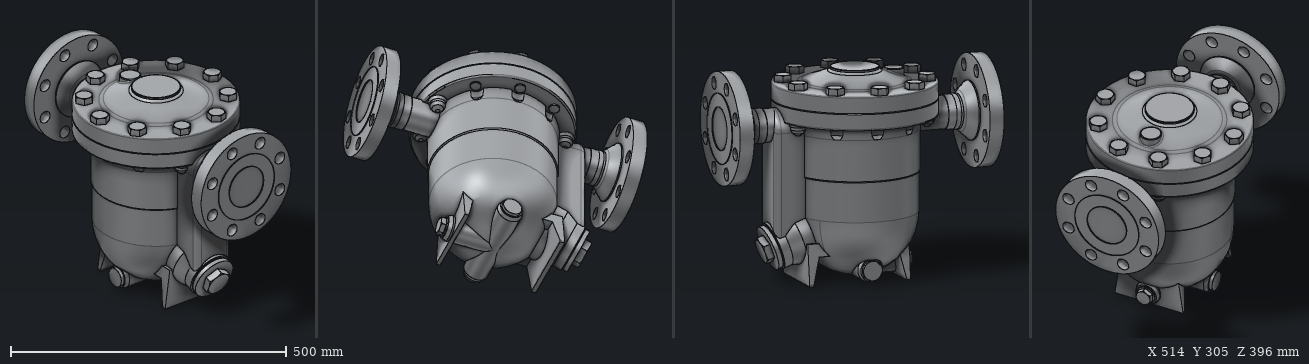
import cadquery as cq
import math


flange_radius = 305 / 2
joint_plate_thickness = 30.3
joint_gap = 2.0
joint_face_radius = 235 / 2
joint_z = 38.7
cover_edge_round = 1.5
body_flange_round = 3.0

bolt_count = 10
bolt_circle_radius = 131.0
bolt_step = 360 / bolt_count
bolt_diameter = 20.0
bolt_head_across_flats = 30.0
bolt_head_height = 13.0
bolt_tip_stick_out = 3.0
clearance_radius = 16.0
clearance_cone_z = -8.5
clearance_end_z = -16.0
clearance_end_radius = 13.3

blind_boss_bolts = (2, 3, 7, 8)
blind_boss_radius = 14.5
blind_boss_root_radius = 17.5
blind_boss_straight_top_z = 2.5
blind_boss_straight_bottom_z = -3.0
blind_boss_rim_radius = 10.5
blind_boss_rim_z = -9.3
blind_boss_tip_radius = 4.0
blind_boss_tip_z = -14.7

dome_base_radius = 104.0
dome_cone_radius = 96.0
dome_cone_base_rise = 2.5
crown_radius = 90 / 2
crown_height = 27.3
crown_chamfer = 1.0
crown_root_round = 4.5
dome_cone_top_rise = 19.0
vent_boss_x = -75.0
vent_boss_radius = 19.5
vent_boss_height = 20.0
vent_boss_edge = 1.5
vent_boss_root_round = 3.0

neck_top_radius = 121.5
upper_radius = 119.0
lower_radius = 234 / 2
neck_line_z = -16.0
step_z = -92.5
step_height = 2.5
dome_start_z = -169.0
vessel_seam_angle = 37.0

inlet_face_x = -252.2
outlet_face_x = 261.8
pipe_radius = 62 / 2
pipe_flange_radius = 210 / 2
pipe_flange_thickness = 27.5
raised_face_radius = 130 / 2
raised_face_height = 1.5
bore_diameter = 80.0
bore_depth = 2.0
pipe_bolt_hole_diameter = 23.0
pipe_bolt_circle_diameter = 170.0
pipe_bolt_hole_count = 8
hub_large_radius = 55.0
hub_small_radius = 38.0
stub_radius = 32.5
weld_bead_rise = 1.0
hub_start = 31.5
hub_end = 49.5
stub_start = 53.0
weld_near = 57.0
weld_far = 66.0
stub_end = 81.5

duct_half_width = 40.0
duct_outer_x = 167.8
duct_corner_radius = 11.0
duct_top_z = pipe_radius
duct_bottom_z = -215.0

port_tilt = 20.0
port_tip_x = 181.3
port_tip_z = -233.2
port_root_radius = 54.0
port_radius = 90 / 2
port_gasket_radius = 83 / 2
port_cap_radius = 85 / 2
port_hex_across_flats = 46.0
port_cap_face = 14.0
port_gasket_face = 23.0
port_end_face = 25.0
port_cone_end = 42.0
port_cone_start = 67.0
port_root = 150.0

bottom_boss_z = -264.0
bottom_boss_radius = 24.0
bottom_boss_end_radius = 21.0
bottom_boss_taper = 8.0
bottom_plug_radius = 18.2
side_boss_reach = 89.0
side_plug_reach = 95.7
drain_boss_reach = 94.5
drain_plug_reach = 97.0
drain_hex_across_flats = 28.0
drain_hex_height = 9.5

foot_bottom_z = -291.0
foot_pad_height = 3.5
foot_half_width = 69.3
foot_half_width_loss = 0.141
inlet_foot_outer_x = -83.0
inlet_foot_inner_x = -74.7
inlet_foot_top_z = -200.0
inlet_foot_slope = 0.236
outlet_foot_outer_x = 112.7
outlet_foot_inner_x = 103.7
outlet_foot_top_z = -214.0
outlet_foot_shoulder_x = 91.5
outlet_foot_shoulder_z = -238.0
outlet_foot_root_x = 70.0

cover_bottom_z = joint_z + joint_gap
cover_top_z = cover_bottom_z + joint_plate_thickness
body_flange_bottom_z = joint_z - joint_plate_thickness
foot_pad_z = foot_bottom_z + foot_pad_height
bolt_tip_z = body_flange_bottom_z - bolt_tip_stick_out


def revolve_about_z(outline):
    """Turn a closed XZ outline a full revolution about the Z axis."""
    return outline.revolve(360, (0, 0, 0), (0, 1, 0))


def hex_head(across_flats, height):
    """Hexagon standing on Z = 0, corners on the X axis, with its top corners turned off."""
    corner_radius = across_flats / math.sqrt(3)
    chamfer = corner_radius - across_flats / 2
    hexagon = cq.Workplane("XY").polygon(6, 2 * corner_radius).extrude(height)
    turned = cq.Workplane("XY").circle(corner_radius).extrude(height)
    turned = turned.faces(">Z").chamfer(chamfer / 2, chamfer)
    return hexagon.intersect(turned)


def around_bolt_circle(shape):
    """Copies of a shape made at the origin, set out on the cover bolt circle."""
    first = shape.translate((0, bolt_circle_radius, 0))
    return [first.rotate((0, 0, 0), (0, 0, 1), i * bolt_step) for i in range(bolt_count)]


def make_cover_plate():
    crown_top_z = cover_top_z + crown_height
    cone_top_z = cover_top_z + dome_cone_top_rise
    plate = cq.Workplane("XY", origin=(0, 0, cover_bottom_z)).circle(flange_radius)
    plate = plate.extrude(joint_plate_thickness).faces(">Z").edges().fillet(cover_edge_round)
    dome = (
        cq.Workplane("XZ")
        .moveTo(0, cover_bottom_z)
        .lineTo(dome_base_radius, cover_bottom_z)
        .lineTo(dome_base_radius, cover_top_z)
        .lineTo(dome_cone_radius, cover_top_z + dome_cone_base_rise)
        .lineTo(crown_radius + crown_root_round, cone_top_z)
        .lineTo(crown_radius, cone_top_z + crown_root_round)
        .lineTo(crown_radius, crown_top_z - crown_chamfer)
        .lineTo(crown_radius - crown_chamfer, crown_top_z)
        .lineTo(0, crown_top_z)
        .close()
    )
    return plate.union(revolve_about_z(dome))


def make_vent_boss():
    boss = cq.Workplane("XY", origin=(vent_boss_x, 0, cover_bottom_z)).circle(vent_boss_radius)
    boss = boss.extrude(joint_plate_thickness + vent_boss_height)
    return boss.faces(">Z").chamfer(vent_boss_edge)


def make_bolt():
    shank = cq.Workplane("XY", origin=(0, 0, bolt_tip_z)).circle(bolt_diameter / 2)
    shank = shank.extrude(cover_top_z - bolt_tip_z)
    head = hex_head(bolt_head_across_flats, bolt_head_height).translate((0, 0, cover_top_z))
    return shank.union(head)


def make_cover():
    cover = make_cover_plate().union(make_vent_boss())
    dome_foot_z = cover_top_z + dome_cone_base_rise
    dome_crown_z = cover_top_z + dome_cone_top_rise - vent_boss_edge
    vent_root = cq.selectors.BoxSelector(
        (vent_boss_x - vent_boss_radius, -vent_boss_radius, dome_foot_z),
        (vent_boss_x + vent_boss_radius, vent_boss_radius, dome_crown_z),
    )
    cover = cover.edges(vent_root).fillet(vent_boss_root_round)
    for bolt in around_bolt_circle(make_bolt()):
        cover = cover.union(bolt)
    return cover


def make_vessel():
    bottom_z = dome_start_z - lower_radius
    arc_reach = lower_radius * math.sin(math.radians(45))
    outline = (
        cq.Workplane("XZ")
        .moveTo(0, cover_bottom_z)
        .lineTo(joint_face_radius, cover_bottom_z)
        .lineTo(joint_face_radius, joint_z)
        .lineTo(flange_radius, joint_z)
        .lineTo(flange_radius, body_flange_bottom_z + body_flange_round)
        .radiusArc((flange_radius - body_flange_round, body_flange_bottom_z), body_flange_round)
        .lineTo(neck_top_radius, body_flange_bottom_z)
        .lineTo(upper_radius, neck_line_z)
        .lineTo(upper_radius, step_z)
        .lineTo(lower_radius, step_z - step_height)
        .lineTo(lower_radius, dome_start_z)
        .threePointArc((arc_reach, dome_start_z - arc_reach), (0, bottom_z))
        .close()
    )
    return revolve_about_z(outline).rotate((0, 0, 0), (0, 0, 1), vessel_seam_angle)


def make_bolt_clearance():
    """Cutter for the scallop a bolt tip needs in the neck."""
    outline = (
        cq.Workplane("XZ")
        .moveTo(0, body_flange_bottom_z)
        .lineTo(clearance_radius, body_flange_bottom_z)
        .lineTo(clearance_radius, clearance_cone_z)
        .lineTo(clearance_end_radius, clearance_end_z)
        .lineTo(0, clearance_end_z)
        .close()
    )
    return revolve_about_z(outline)


def make_blind_boss():
    inside_z = body_flange_bottom_z + joint_plate_thickness / 2
    outline = (
        cq.Workplane("XZ")
        .moveTo(0, inside_z)
        .lineTo(blind_boss_root_radius, inside_z)
        .lineTo(blind_boss_root_radius, body_flange_bottom_z)
        .lineTo(blind_boss_radius, blind_boss_straight_top_z)
        .lineTo(blind_boss_radius, blind_boss_straight_bottom_z)
        .lineTo(blind_boss_rim_radius, blind_boss_rim_z)
        .lineTo(blind_boss_tip_radius, blind_boss_tip_z)
        .lineTo(0, blind_boss_tip_z)
        .close()
    )
    return revolve_about_z(outline)


def make_pipe_connection(face_x):
    """Welded pipe stub and flange from the vessel axis out to a raised face at face_x."""
    reach = abs(face_x)
    flange_face = reach - raised_face_height
    flange_back = flange_face - pipe_flange_thickness
    weld_middle = reach - (weld_near + weld_far) / 2
    outline = (
        cq.Workplane("XY")
        .moveTo(0, 0)
        .lineTo(0, pipe_radius)
        .lineTo(reach - stub_end, pipe_radius)
        .lineTo(reach - stub_end, stub_radius)
        .lineTo(reach - weld_far, stub_radius)
        .threePointArc((weld_middle, stub_radius + weld_bead_rise), (reach - weld_near, stub_radius))
        .lineTo(reach - stub_start, stub_radius)
        .lineTo(reach - hub_end, hub_small_radius)
        .lineTo(reach - hub_start, hub_large_radius)
        .lineTo(flange_back, hub_large_radius)
        .lineTo(flange_back, pipe_flange_radius)
        .lineTo(flange_face, pipe_flange_radius)
        .lineTo(flange_face, raised_face_radius)
        .lineTo(reach, raised_face_radius)
        .lineTo(reach, 0)
        .close()
    )
    pipe = outline.revolve(360, (0, 0, 0), (1, 0, 0))
    bore = cq.Workplane("YZ", origin=(reach, 0, 0)).circle(bore_diameter / 2).extrude(-bore_depth)
    hole_radius = pipe_bolt_circle_diameter / 2
    first_hole = 180 / pipe_bolt_hole_count
    holes = (
        cq.Workplane("YZ", origin=(flange_back, 0, 0))
        .polarArray(hole_radius, first_hole, 360, pipe_bolt_hole_count)
        .circle(pipe_bolt_hole_diameter / 2)
        .extrude(pipe_flange_thickness)
    )
    pipe = pipe.cut(bore).cut(holes)
    if face_x < 0:
        pipe = pipe.mirror("YZ")
    return pipe


def make_riser_duct():
    """Upright round-topped passage joining the outlet pipe to the strainer port."""
    spring_z = duct_top_z - duct_half_width
    outline = (
        cq.Workplane("YZ")
        .moveTo(-duct_half_width, duct_bottom_z)
        .lineTo(-duct_half_width, spring_z)
        .threePointArc((0, duct_top_z), (duct_half_width, spring_z))
        .lineTo(duct_half_width, duct_bottom_z)
        .close()
    )
    duct = outline.extrude(duct_outer_x)
    return duct.faces(">X").edges("not <Z").fillet(duct_corner_radius)


def make_strainer_port():
    """Strainer port with cap and hexagon, turned upright and then tilted into place."""
    outline = (
        cq.Workplane("XZ")
        .moveTo(0, -port_root)
        .lineTo(port_root_radius, -port_root)
        .lineTo(port_root_radius, -port_cone_start)
        .lineTo(port_radius, -port_cone_end)
        .lineTo(port_radius, -port_end_face)
        .lineTo(port_gasket_radius, -port_end_face)
        .lineTo(port_gasket_radius, -port_gasket_face)
        .lineTo(port_cap_radius, -port_gasket_face)
        .lineTo(port_cap_radius, -port_cap_face)
        .lineTo(0, -port_cap_face)
        .close()
    )
    hexagon = hex_head(port_hex_across_flats, port_cap_face).translate((0, 0, -port_cap_face))
    port = revolve_about_z(outline).union(hexagon)
    port = port.rotate((0, 0, 0), (0, 1, 0), 90 + port_tilt)
    return port.translate((port_tip_x, 0, port_tip_z))


def make_bottom_boss(boss_reach, plug_reach):
    """Tapered boss and its round plug, lying along +X from the origin."""
    outline = (
        cq.Workplane("XY")
        .moveTo(0, 0)
        .lineTo(0, bottom_boss_radius)
        .lineTo(boss_reach - bottom_boss_taper, bottom_boss_radius)
        .lineTo(boss_reach, bottom_boss_end_radius)
        .lineTo(boss_reach, bottom_plug_radius)
        .lineTo(plug_reach, bottom_plug_radius)
        .lineTo(plug_reach, 0)
        .close()
    )
    return outline.revolve(360, (0, 0, 0), (1, 0, 0))


def make_side_bosses():
    """Bosses on both Y sides, joined into one bar through the dome."""
    boss = make_bottom_boss(side_boss_reach, side_plug_reach).rotate((0, 0, 0), (0, 0, 1), 90)
    return boss.union(boss.mirror("XZ")).translate((0, 0, bottom_boss_z))


def make_drain_boss():
    """Boss on the -X side with a hexagon on its plug."""
    hexagon = hex_head(drain_hex_across_flats, drain_hex_height).rotate((0, 0, 0), (0, 1, 0), 90)
    boss = make_bottom_boss(drain_boss_reach, drain_plug_reach)
    boss = boss.union(hexagon.translate((drain_plug_reach, 0, 0)))
    return boss.mirror("YZ").translate((0, 0, bottom_boss_z))


def make_foot(outline, top_z):
    """Extrude a foot's XZ outline across Y and trim it to sides that narrow upwards."""
    top_half_width = foot_half_width - foot_half_width_loss * (top_z - foot_pad_z)
    slab = outline.extrude(foot_half_width, both=True)
    sides = (
        cq.Workplane("YZ")
        .moveTo(-foot_half_width, foot_bottom_z)
        .lineTo(foot_half_width, foot_bottom_z)
        .lineTo(foot_half_width, foot_pad_z)
        .lineTo(top_half_width, top_z)
        .lineTo(-top_half_width, top_z)
        .lineTo(-foot_half_width, foot_pad_z)
        .close()
        .extrude(flange_radius, both=True)
    )
    return slab.intersect(sides)


def make_inlet_foot():
    top_inner_x = inlet_foot_inner_x + inlet_foot_slope * (inlet_foot_top_z - foot_pad_z)
    outline = (
        cq.Workplane("XZ")
        .moveTo(inlet_foot_outer_x, foot_bottom_z)
        .lineTo(inlet_foot_inner_x, foot_bottom_z)
        .lineTo(inlet_foot_inner_x, foot_pad_z)
        .lineTo(top_inner_x, inlet_foot_top_z)
        .lineTo(inlet_foot_outer_x, inlet_foot_top_z)
        .close()
    )
    return make_foot(outline, inlet_foot_top_z)


def make_outlet_foot():
    outline = (
        cq.Workplane("XZ")
        .moveTo(outlet_foot_outer_x, foot_bottom_z)
        .lineTo(outlet_foot_inner_x, foot_bottom_z)
        .lineTo(outlet_foot_inner_x, foot_pad_z)
        .lineTo(outlet_foot_shoulder_x, outlet_foot_shoulder_z)
        .lineTo(outlet_foot_root_x, outlet_foot_shoulder_z)
        .lineTo(outlet_foot_root_x, outlet_foot_top_z)
        .lineTo(outlet_foot_outer_x, outlet_foot_top_z)
        .close()
    )
    return make_foot(outline, outlet_foot_top_z)


def make_body():
    body = make_vessel()
    clearances = around_bolt_circle(make_bolt_clearance())
    blind_bosses = around_bolt_circle(make_blind_boss())
    for i in range(bolt_count):
        if i in blind_boss_bolts:
            body = body.union(blind_bosses[i])
        else:
            body = body.cut(clearances[i])
    for face_x in (inlet_face_x, outlet_face_x):
        body = body.union(make_pipe_connection(face_x))
    for feature in (
        make_riser_duct(),
        make_strainer_port(),
        make_side_bosses(),
        make_drain_boss(),
        make_inlet_foot(),
        make_outlet_foot(),
    ):
        body = body.union(feature)
    socket = cq.Workplane("XY", origin=(0, 0, bolt_tip_z)).circle(bolt_diameter / 2)
    for hole in around_bolt_circle(socket.extrude(joint_z - bolt_tip_z)):
        body = body.cut(hole)
    return body


cover = make_cover()
body = make_body()
result = cq.Compound.makeCompound([cover.val(), body.val()])